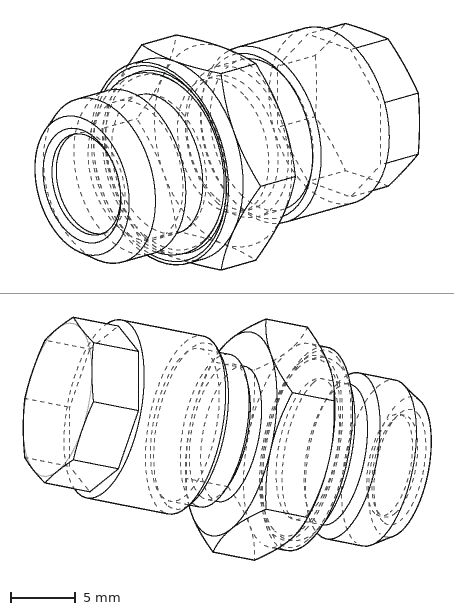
import cadquery as cq
import math

TOTAL_LENGTH = 29.4
TIP_CHAMFER_END = 1.8
THREAD_END = 4.9
RELIEF_START = 5.5
FLANGE_START = 8.0
HEX_START = 9.5
HEX_END = 14.5
NECK_END = 15.45
COLLAR_START = 15.9
CAP_START = 17.93
CAP_END = 25.4

TIP_RADIUS = 5.5
THREAD_RADIUS = 6.53
RELIEF_RADIUS = 5.53
FLANGE_RADIUS = 8.0
NECK_RADIUS = 5.32
COLLAR_RADIUS = 6.0
CAP_RADIUS = 7.0
CAP_CHAMFER = 0.47
CAP_RIM_RADIUS = CAP_RADIUS - CAP_CHAMFER

SEAL_RADIUS = 7.17
SEAL_SECTION_RADIUS = (SEAL_RADIUS - RELIEF_RADIUS) / 2
SEAL_CENTER_RADIUS = RELIEF_RADIUS + SEAL_SECTION_RADIUS
SEAL_CENTER_Y = 7.9
SEAT_MOUTH_RADIUS = 7.73
SEAL_FOOT_OFFSET = SEAL_SECTION_RADIUS * math.sin(math.radians(45))
SEAT_FLOOR_Y = SEAL_CENTER_Y + SEAL_FOOT_OFFSET
SEAT_FLOOR_RADIUS = SEAT_MOUTH_RADIUS - (SEAT_FLOOR_Y - FLANGE_START)

RECESS_MOUTH_RADIUS = 4.53
RECESS_FLOOR_RADIUS = 4.0
RECESS_CHAMFER_DEPTH = 0.45
RECESS_DEPTH = 0.88

HEX_ACROSS_FLATS = 2 * FLANGE_RADIUS
HEX_CHAMFER_ANGLE = 30
OCTAGON_ACROSS_FLATS = 2 * COLLAR_RADIUS
OCTAGON_CHAMFER_ANGLE = 15


def revolve(points):
    """Turn a closed (radius, y) outline about the Y axis."""
    outline = cq.Workplane("XY").polyline(points).close()
    return outline.revolve(360, (0, 0, 0), (0, 1, 0))


def wrench_prism(sides, across_flats, start, end, first_corner):
    """Regular prism along Y with its first corner at the given angle from X."""
    corner_radius = across_flats / 2 / math.cos(math.pi / sides)
    corners = []
    for i in range(sides):
        angle = math.radians(first_corner + i * 360 / sides)
        corners.append((corner_radius * math.cos(angle), corner_radius * math.sin(angle)))
    plane = cq.Workplane("XZ", origin=(0, start, 0))
    return plane.polyline(corners).close().extrude(start - end)


def corner_drop(sides, across_flats, angle):
    """Axial height of a conical chamfer that touches the middle of each flat."""
    corner_radius = across_flats / 2 / math.cos(math.pi / sides)
    return (corner_radius - across_flats / 2) * math.tan(math.radians(angle))


def make_turned_body():
    return revolve([
        (0, 0),
        (TIP_RADIUS, 0),
        (THREAD_RADIUS, TIP_CHAMFER_END),
        (THREAD_RADIUS, THREAD_END),
        (RELIEF_RADIUS, RELIEF_START),
        (RELIEF_RADIUS, FLANGE_START),
        (FLANGE_RADIUS, FLANGE_START),
        (FLANGE_RADIUS, HEX_END),
        (NECK_RADIUS, HEX_END),
        (NECK_RADIUS, NECK_END),
        (COLLAR_RADIUS, COLLAR_START),
        (COLLAR_RADIUS, CAP_START + CAP_RIM_RADIUS - COLLAR_RADIUS),
        (CAP_RIM_RADIUS, CAP_START),
        (CAP_RADIUS, CAP_START + CAP_CHAMFER),
        (CAP_RADIUS, CAP_END),
        (0, CAP_END),
    ])


def make_hexagon():
    sides = 6
    drop = corner_drop(sides, HEX_ACROSS_FLATS, HEX_CHAMFER_ANGLE)
    flat_radius = HEX_ACROSS_FLATS / 2
    corner_radius = flat_radius / math.cos(math.pi / sides)
    envelope = revolve([
        (0, HEX_START),
        (flat_radius, HEX_START),
        (corner_radius, HEX_START + drop),
        (corner_radius, HEX_END - drop),
        (flat_radius, HEX_END),
        (0, HEX_END),
    ])
    return wrench_prism(sides, HEX_ACROSS_FLATS, HEX_START, HEX_END, 0).intersect(envelope)


def make_octagon():
    sides = 8
    drop = corner_drop(sides, OCTAGON_ACROSS_FLATS, OCTAGON_CHAMFER_ANGLE)
    flat_radius = OCTAGON_ACROSS_FLATS / 2
    corner_radius = flat_radius / math.cos(math.pi / sides)
    envelope = revolve([
        (0, CAP_END),
        (corner_radius, CAP_END),
        (corner_radius, TOTAL_LENGTH - drop),
        (flat_radius, TOTAL_LENGTH),
        (0, TOTAL_LENGTH),
    ])
    first_corner = 180 / sides
    prism = wrench_prism(sides, OCTAGON_ACROSS_FLATS, CAP_END, TOTAL_LENGTH, first_corner)
    return prism.intersect(envelope)


def make_seal_seat():
    return revolve([
        (RELIEF_RADIUS, FLANGE_START),
        (SEAT_MOUTH_RADIUS, FLANGE_START),
        (SEAT_FLOOR_RADIUS, SEAT_FLOOR_Y),
        (RELIEF_RADIUS, SEAT_FLOOR_Y),
    ])


def make_seal():
    """Round ring cut off by the seat floor, with a straight inner side on the relief."""
    section = (
        cq.Workplane("XY")
        .moveTo(RELIEF_RADIUS, SEAT_FLOOR_Y)
        .lineTo(RELIEF_RADIUS, SEAL_CENTER_Y)
        .threePointArc(
            (SEAL_CENTER_RADIUS, SEAL_CENTER_Y - SEAL_SECTION_RADIUS),
            (SEAL_CENTER_RADIUS + SEAL_FOOT_OFFSET, SEAT_FLOOR_Y),
        )
        .close()
    )
    return section.revolve(360, (0, 0, 0), (0, 1, 0))


def make_tip_recess():
    return revolve([
        (0, 0),
        (RECESS_MOUTH_RADIUS, 0),
        (RECESS_FLOOR_RADIUS, RECESS_CHAMFER_DEPTH),
        (RECESS_FLOOR_RADIUS, RECESS_DEPTH),
        (0, RECESS_DEPTH),
    ])


body = make_turned_body().union(make_hexagon()).union(make_octagon())
body = body.cut(make_seal_seat()).union(make_seal())
result = body.cut(make_tip_recess())